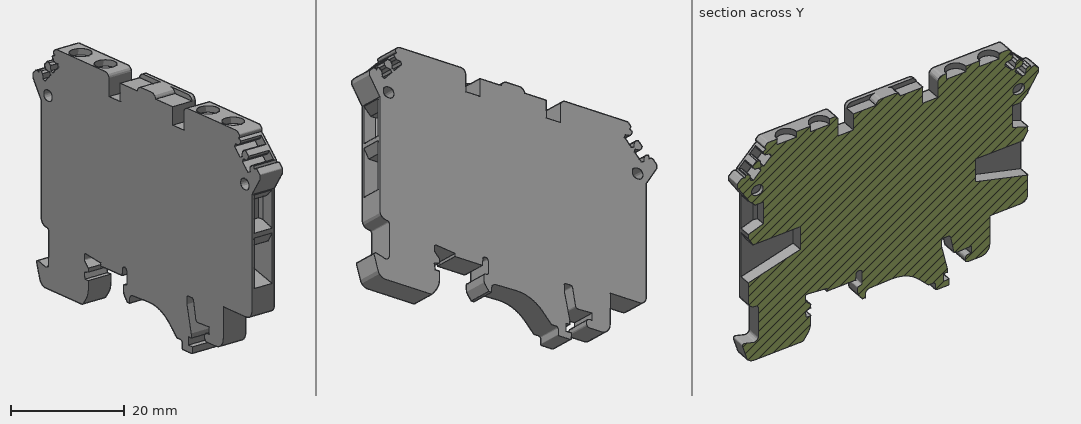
import cadquery as cq
import math

thickness = 5.1
height = 45.8
half_thickness = thickness / 2
cut_margin = 1.0

body_half_width = 29.5
foot_side_x = -27.4
body_bottom = 11.5
edge_radius = 1.15
end_radius = 1.5

ear_half_width = 31.8
ear_root_z = 35.0
marker_tilt = 45
marker_face_x = 28.16
marker_face_z = 42.38
slot_inner_x = 7.35
slot_outer_x = 10.45
slot_floor = 41.4

marker_wall = 0.5
socket_offset = 1.55
socket_mouth = 0.95
socket_neck = 0.7
socket_base = 1.3
socket_floor = 1.1
neck_start = 0.45
neck_end = 1.0
base_depth = 1.75
socket_depth = 2.3

pin_x = 27.55
pin_z = 36.4
pin_height = 2.05
pin_width = 2.35
pin_depth = 3.0

screw_xs = (14.35, 21.35)
screw_y = -0.2
screw_diameter = 4.0
screw_depth = 1.2

recess_depth = 0.95
rib_thickness = 0.75
hump_top_half_width = 1.45
hump_half_width = 2.6
crown_inset = 0.4
crown_drop = 0.3

opening_half_width = 2.0
entry_top = 34.8
entry_bottom = 27.6
entry_depth = 3.2
entry_ceiling_drop = 1.5
entry_floor_rise = 1.1
entry_taper_start = 2.5
entry_taper = 0.45
window_top = 26.7
window_bottom = 17.2
window_depth = 11.0
window_ceiling_drop = 1.8
window_ceiling_run = 1.05
window_floor_rise = 2.9


def rounded_profile(corners):
    """Closed XZ wire from (x, z, radius) corners, each rounded by a tangent arc."""
    stretches = []
    for i, (x, z, radius) in enumerate(corners):
        corner = cq.Vector(x, z)
        before = cq.Vector(*corners[i - 1][:2]) - corner
        after = cq.Vector(*corners[(i + 1) % len(corners)][:2]) - corner
        if radius == 0:
            stretches.append((corner,))
            continue
        half_angle = before.getAngle(after) / 2
        setback = radius / math.tan(half_angle)
        bisector = (before.normalized() + after.normalized()).normalized()
        middle = corner + bisector * (radius / math.sin(half_angle) - radius)
        start = corner + before.normalized() * setback
        end = corner + after.normalized() * setback
        stretches.append((start, middle, end))

    wire = cq.Workplane("XZ").moveTo(stretches[0][-1].x, stretches[0][-1].y)
    for stretch in stretches[1:] + stretches[:1]:
        wire = wire.lineTo(stretch[0].x, stretch[0].y)
        if len(stretch) == 3:
            wire = wire.threePointArc(stretch[1].toTuple()[:2], stretch[2].toTuple()[:2])
    return wire.close()


def mirrored(corners):
    """The same corners on the other side of X = 0, in reverse order."""
    return [(-x, z, radius) for x, z, radius in reversed(corners)]


def between(wire, y_front, y_back):
    """Extrude an XZ wire from y_front back to y_back."""
    return wire.extrude(y_back - y_front).translate((0, y_back, 0))


def on_both_ends(cutter):
    """The cutter together with its mirror image across X = 0."""
    return cutter.union(cutter.mirror("YZ"))


head = [
    (slot_inner_x, height, edge_radius),
    (slot_inner_x, slot_floor, 0),
    (slot_outer_x, slot_floor, 0),
    (slot_outer_x, height, edge_radius),
    (25.4, height, 0.7),
    (26.2, 45.0, 0.4),
    (25.8, 44.55, 0),
    (26.3, 44.24, 0),
    (30.02, 40.52, 0),
    (30.2, 40.05, 0),
    (30.75, 40.4, 0.6),
    (ear_half_width, 39.35, 0.3),
    (ear_half_width, 38.55, 0.4),
    (body_half_width, ear_root_z, 0),
    (body_half_width, body_bottom, end_radius),
]

rail_side = [
    (21.5, body_bottom, 0),
    (21.5, 3.45, 2.0),
    (16.25, 3.45, 0.7),
    (16.25, 5.1, 0.7),
    (17.5, 5.1, 0),
    (17.5, 6.5, 0),
    (13.9, 6.35, 0.6),
    (13.1, 10.55, 0.5),
    (11.35, 10.55, 0.4),
    (11.35, 8.9, 0.8),
    (12.55, 3.7, 0),
    (12.55, 2.88, 0),
    (11.75, 2.88, 0),
    (11.75, 1.35, 0),
    (12.9, 1.35, 0),
    (12.9, 0, 0.3),
    (10.0, 0, 0.3),
    (10.0, 1.7, 0.5),
    (8.5, 1.7, 0.5),
    (4.15, 6.15, 8.0),
    (-4.75, 5.9, 1.0),
    (-4.75, 4.2, 0),
    (-5.35, 4.2, 0),
    (-6.45, 5.6, 1.5),
    (-6.45, 7.25, 0.3),
    (-5.5, 7.4, 0.3),
    (-5.5, 10.55, 0.5),
    (-6.65, 10.55, 0.5),
    (-6.8, 8.8, 0),
    (-12.85, 8.8, 0),
    (-12.85, 9.4, 0),
    (-17.4, 9.85, 0.4),
    (-17.4, 8.5, 0.4),
    (-16.25, 7.35, 0),
    (-16.25, 6.6, 0),
    (-17.4, 6.2, 0),
    (-17.2, 5.0, 0),
    (-16.25, 5.0, 0),
    (-16.25, 2.2, 4.0),
    (-17.9, 0, 0.5),
    (-29.5, 0, 1.7),
    (-30.95, 4.7, 0.4),
    (-28.4, 4.0, 1.0),
    (foot_side_x, 3.8, 0.8),
    (foot_side_x, body_bottom, 0.5),
]


def make_body():
    outline = head + rail_side + mirrored(head)
    return between(rounded_profile(outline), -half_thickness, half_thickness)


def middle_recess():
    floor = height - recess_depth
    outer_x = -slot_inner_x - cut_margin
    crown = (-hump_half_width + crown_inset, height - crown_drop)
    profile = (
        cq.Workplane("XZ")
        .moveTo(outer_x, floor)
        .lineTo(-hump_half_width, floor)
        .threePointArc(crown, (-hump_top_half_width, height))
        .lineTo(-hump_top_half_width, height + cut_margin)
        .lineTo(outer_x, height + cut_margin)
        .close()
    )
    return between(profile, -half_thickness - cut_margin, half_thickness - rib_thickness)


def marker_sockets():
    half_outline = [
        (socket_mouth, cut_margin),
        (socket_mouth, 0),
        (socket_neck, -neck_start),
        (socket_neck, -neck_end),
        (socket_base, -base_depth),
        (socket_floor, -socket_depth),
    ]
    outline = half_outline + [(-along, out) for along, out in reversed(half_outline)]
    socket = between(
        cq.Workplane("XZ").polyline(outline).close(),
        -half_thickness - cut_margin,
        half_thickness - marker_wall,
    )
    upper = socket.translate((socket_offset, 0, 0))
    lower = socket.translate((-socket_offset, 0, 0))
    tilted = upper.union(lower).rotate((0, 0, 0), (0, 1, 0), -marker_tilt)
    return tilted.translate((-marker_face_x, 0, marker_face_z))


def pin_hole():
    wire = cq.Workplane("XZ").center(-pin_x, pin_z).slot2D(pin_width, pin_height)
    return between(wire, -half_thickness - cut_margin, -half_thickness + pin_depth)


def screw_holes():
    centers = [(-x, screw_y) for x in screw_xs]
    top = cq.Workplane("XY").workplane(offset=height - screw_depth)
    return top.pushPoints(centers).circle(screw_diameter / 2).extrude(screw_depth + cut_margin)


def wire_entry():
    back = -body_half_width + entry_depth
    side = (
        cq.Workplane("XZ")
        .moveTo(-body_half_width, entry_bottom)
        .lineTo(back, entry_bottom + entry_floor_rise)
        .lineTo(back, entry_top - entry_ceiling_drop)
        .lineTo(-body_half_width + entry_ceiling_drop, entry_top - entry_ceiling_drop)
        .lineTo(-body_half_width, entry_top)
        .close()
    )
    plan = (
        cq.Workplane("XY")
        .moveTo(-body_half_width, -opening_half_width)
        .lineTo(back, -opening_half_width)
        .lineTo(back, opening_half_width - entry_taper)
        .lineTo(-body_half_width + entry_taper_start, opening_half_width)
        .lineTo(-body_half_width, opening_half_width)
        .close()
        .extrude(height)
    )
    return between(side, -opening_half_width, opening_half_width).intersect(plan)


def lower_window():
    back = -body_half_width + window_depth
    side = (
        cq.Workplane("XZ")
        .moveTo(-body_half_width, window_bottom)
        .lineTo(back, window_bottom + window_floor_rise)
        .lineTo(back, window_top - window_ceiling_drop)
        .lineTo(-body_half_width + window_ceiling_run, window_top - window_ceiling_drop)
        .lineTo(-body_half_width, window_top)
        .close()
    )
    return between(side, -opening_half_width, opening_half_width)


result = make_body()
for cutter in (middle_recess, marker_sockets, pin_hole, screw_holes, wire_entry, lower_window):
    result = result.cut(on_both_ends(cutter()))